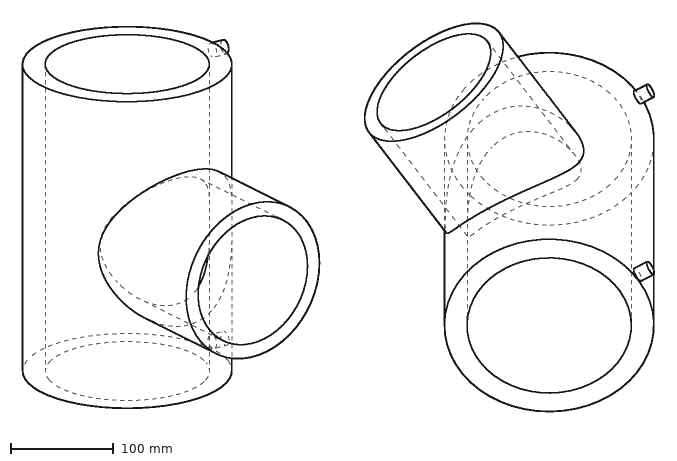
import cadquery as cq

pipe_length = 320.0
pipe_diameter = 204.0
bore_diameter = 160.0

branch_diameter = bore_diameter
branch_bore_diameter = 131.2
branch_reach = 210.0

pin_diameter = 14.0
pin_reach = 116.8
pin_end_distance = 8.0

mid_height = pipe_length / 2
mid_wall_radius = (pipe_diameter + bore_diameter) / 4


def upright_cylinder(diameter):
    """Cylinder over the full pipe length, on the pipe axis."""
    return cq.Workplane("XY").circle(diameter / 2).extrude(pipe_length)


def branch_cylinder(diameter):
    """Cylinder from the pipe axis out to the branch end face."""
    return cq.Workplane("YZ").center(0, mid_height).circle(diameter / 2).extrude(branch_reach)


def pin(height):
    """Solid pin rooted halfway into the pipe wall and pointing along +Y."""
    root = cq.Vector(0, mid_wall_radius, height)
    length = pin_reach - mid_wall_radius
    return cq.Solid.makeCylinder(pin_diameter / 2, length, root, cq.Vector(0, 1, 0))


body = upright_cylinder(pipe_diameter).union(branch_cylinder(branch_diameter))
for height in (pin_end_distance, pipe_length - pin_end_distance):
    body = body.union(cq.Workplane(pin(height)))

result = body.cut(upright_cylinder(bore_diameter)).cut(branch_cylinder(branch_bore_diameter))